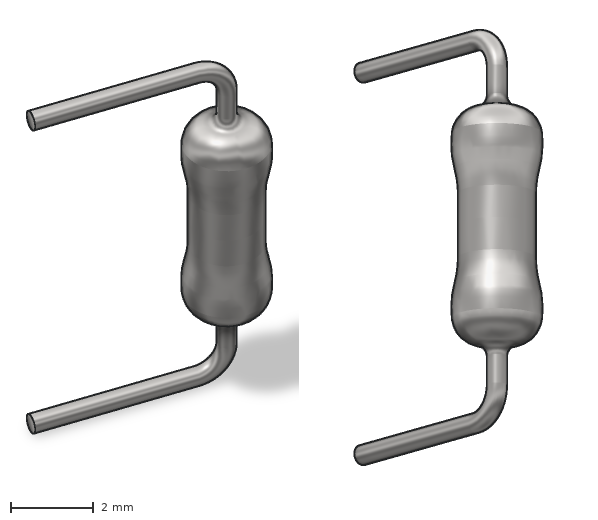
import cadquery as cq
import math

overall_height = 10.0
lead_diameter = 0.5
lead_reach = 5.2
bend_radius = 0.8
neck_top_z = 3.24
waist_radius = 0.95
waist_half_length = 0.8
bulge_radius = 1.11
bulge_z = 2.05
dome_start_z = 2.3
dome_radius = 0.72

lead_radius = lead_diameter / 2
lead_z = overall_height / 2 - lead_radius
bend_start_z = lead_z - bend_radius


def circle_point(center, radius, angle):
    """Point on a circle in the radius-height plane."""
    return (center[0] + radius * math.cos(angle), center[1] + radius * math.sin(angle))


def make_half_body():
    """Revolve the upper half of the coated body from its tangent arcs."""
    rise = bulge_radius - waist_radius
    run = bulge_z - waist_half_length
    flare_radius = (rise**2 + run**2) / (4 * rise)
    flare_middle = ((waist_radius + bulge_radius) / 2, (waist_half_length + bulge_z) / 2)

    bulge_center = (bulge_radius - flare_radius, bulge_z)
    dome_start_angle = math.asin((dome_start_z - bulge_z) / flare_radius)
    dome_start = circle_point(bulge_center, flare_radius, dome_start_angle)
    dome_center = circle_point(dome_start, -dome_radius, dome_start_angle)

    offset = lead_radius - dome_center[0]
    height = neck_top_z - dome_center[1]
    neck_radius = (offset**2 + height**2 - dome_radius**2) / (2 * (dome_radius - offset))
    neck_center = (lead_radius + neck_radius, neck_top_z)
    dome_end_angle = math.atan2(height, neck_center[0] - dome_center[0])
    dome_end = circle_point(dome_center, dome_radius, dome_end_angle)
    dome_middle = circle_point(dome_center, dome_radius, (dome_start_angle + dome_end_angle) / 2)
    neck_middle = circle_point(neck_center, neck_radius, math.pi + dome_end_angle / 2)

    return (
        cq.Workplane("XZ")
        .lineTo(waist_radius, 0)
        .lineTo(waist_radius, waist_half_length)
        .tangentArcPoint(flare_middle, relative=False)
        .tangentArcPoint(dome_start, relative=False)
        .threePointArc(dome_middle, dome_end)
        .threePointArc(neck_middle, (lead_radius, neck_top_z))
        .lineTo(0, neck_top_z)
        .close()
        .revolve(360, (0, 0, 0), (0, 1, 0))
    )


def make_upper_lead():
    """Sweep the round lead up from the neck, through its bend, to the tip."""
    path = (
        cq.Workplane("YZ")
        .moveTo(0, neck_top_z)
        .lineTo(0, bend_start_z)
        .tangentArcPoint((-bend_radius, lead_z), relative=False)
        .lineTo(-lead_reach, lead_z)
    )
    return cq.Workplane("XY").workplane(offset=neck_top_z).circle(lead_radius).sweep(path)


upper_half = make_half_body().union(make_upper_lead())
result = upper_half.union(upper_half.mirror("XY"))